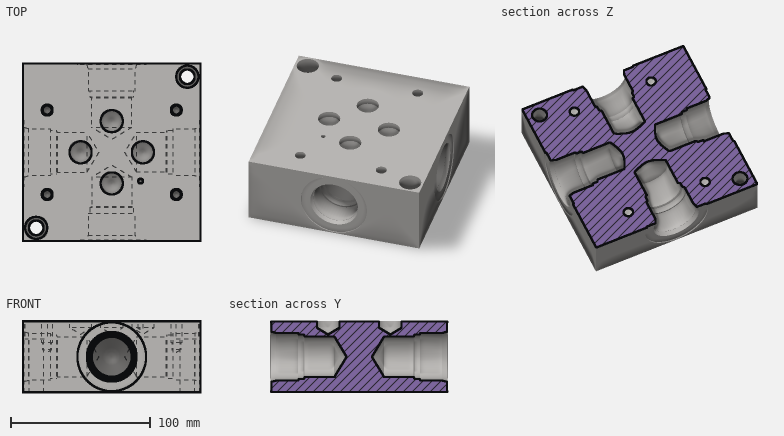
import cadquery as cq
import math

SIDE = 127.0
HEIGHT = 50.8

DRILL_POINT_ANGLE = 118.0

SPOTFACE_DIAMETER = 49.1
SPOTFACE_DEPTH = 0.8
SEAT_MOUTH_DIAMETER = 35.5
SEAT_END_DIAMETER = 33.8
SEAT_END_DEPTH = 4.1
PORT_THREAD_DIAMETER = 33.4
PORT_THREAD_DEPTH = 19.8
PORT_TAP_DIAMETER = 31.2
PORT_TAP_DEPTH = 23.9
PORT_BORE_DIAMETER = 28.6
PORT_BORE_DEPTH = 45.7

PASSAGE_DIAMETER = 15.9
PASSAGE_DEPTH = 4.6
PASSAGE_OFFSET = 22.2
PIN_DIAMETER = 3.4
PIN_DEPTH = 5.1
PIN_X = 20.6
PIN_Y = -20.6
SCREW_THREAD_DIAMETER = 7.9
SCREW_THREAD_DEPTH = 15.2
SCREW_TAP_DIAMETER = 6.5
SCREW_TAP_DEPTH = 20.3
SCREW_SPACING_X = 92.2
SCREW_SPACING_Y = 60.3

MOUNT_OFFSET = 54.0
MOUNT_DIAMETER = 10.3
MOUNT_COUNTERBORE_DIAMETER = 15.9
MOUNT_COUNTERBORE_DEPTH = 12.7


def cone_height(diameter):
    """Height of a drill point of the given diameter."""
    return diameter / 2 / math.tan(math.radians(DRILL_POINT_ANGLE / 2))


def turned_cutter(profile):
    """Solid of revolution about Z from (diameter, depth) pairs that run down from Z = 0."""
    points = [(diameter / 2, -depth) for diameter, depth in profile]
    return cq.Workplane("XZ").polyline([(0, 0)] + points).close().revolve(360, (0, 0), (0, 1))


def drilled_hole(diameter, depth):
    """Blind hole with a full-diameter depth and a conical drill point."""
    return turned_cutter([(diameter, 0), (diameter, depth), (0, depth + cone_height(diameter))])


def place_on_top(cutter, positions):
    """Copies of a cutter at the given XY positions, starting from the top face."""
    placed = cq.Workplane("XY")
    for x, y in positions:
        placed = placed.add(cutter.translate((x, y, HEIGHT)))
    return placed.combine()


def side_ports():
    """Stepped ports that enter the four side faces at mid height."""
    tap_point_end = PORT_TAP_DEPTH + cone_height(PORT_TAP_DIAMETER) - cone_height(PORT_BORE_DIAMETER)
    cutter = turned_cutter([
        (SPOTFACE_DIAMETER, 0),
        (SPOTFACE_DIAMETER, SPOTFACE_DEPTH),
        (SEAT_MOUTH_DIAMETER, SPOTFACE_DEPTH),
        (SEAT_END_DIAMETER, SEAT_END_DEPTH),
        (PORT_THREAD_DIAMETER, SEAT_END_DEPTH),
        (PORT_THREAD_DIAMETER, PORT_THREAD_DEPTH),
        (PORT_TAP_DIAMETER, PORT_THREAD_DEPTH),
        (PORT_TAP_DIAMETER, PORT_TAP_DEPTH),
        (PORT_BORE_DIAMETER, tap_point_end),
        (PORT_BORE_DIAMETER, PORT_BORE_DEPTH),
        (0, PORT_BORE_DEPTH + cone_height(PORT_BORE_DIAMETER)),
    ])
    front_port = cutter.rotate((0, 0, 0), (1, 0, 0), 90).translate((0, -SIDE / 2, HEIGHT / 2))
    ports = cq.Workplane("XY")
    for turn in range(4):
        ports = ports.add(front_port.rotate((0, 0, 0), (0, 0, 1), 90 * turn))
    return ports.combine()


def passages():
    """Four flow passages on a cross around the block centre."""
    positions = [(PASSAGE_OFFSET, 0), (0, PASSAGE_OFFSET), (-PASSAGE_OFFSET, 0), (0, -PASSAGE_OFFSET)]
    return place_on_top(drilled_hole(PASSAGE_DIAMETER, PASSAGE_DEPTH), positions)


def locating_pin_hole():
    """Small blind hole that keys the valve orientation."""
    return place_on_top(drilled_hole(PIN_DIAMETER, PIN_DEPTH), [(PIN_X, PIN_Y)])


def valve_screw_holes():
    """Four threaded holes, each with a tap drill running on below the thread."""
    cutter = turned_cutter([
        (SCREW_THREAD_DIAMETER, 0),
        (SCREW_THREAD_DIAMETER, SCREW_THREAD_DEPTH),
        (SCREW_TAP_DIAMETER, SCREW_THREAD_DEPTH),
        (SCREW_TAP_DIAMETER, SCREW_TAP_DEPTH),
        (0, SCREW_TAP_DEPTH + cone_height(SCREW_TAP_DIAMETER)),
    ])
    x = SCREW_SPACING_X / 2
    y = SCREW_SPACING_Y / 2
    return place_on_top(cutter, [(x, y), (-x, y), (-x, -y), (x, -y)])


def mounting_holes():
    """Counterbored through holes on the block diagonal."""
    cutter = turned_cutter([
        (MOUNT_COUNTERBORE_DIAMETER, 0),
        (MOUNT_COUNTERBORE_DIAMETER, MOUNT_COUNTERBORE_DEPTH),
        (MOUNT_DIAMETER, MOUNT_COUNTERBORE_DEPTH),
        (MOUNT_DIAMETER, HEIGHT),
        (0, HEIGHT),
    ])
    return place_on_top(cutter, [(MOUNT_OFFSET, MOUNT_OFFSET), (-MOUNT_OFFSET, -MOUNT_OFFSET)])


result = cq.Workplane("XY").box(SIDE, SIDE, HEIGHT, centered=(True, True, False))
for cutters in (side_ports(), passages(), locating_pin_hole(), valve_screw_holes(), mounting_holes()):
    result = result.cut(cutters)